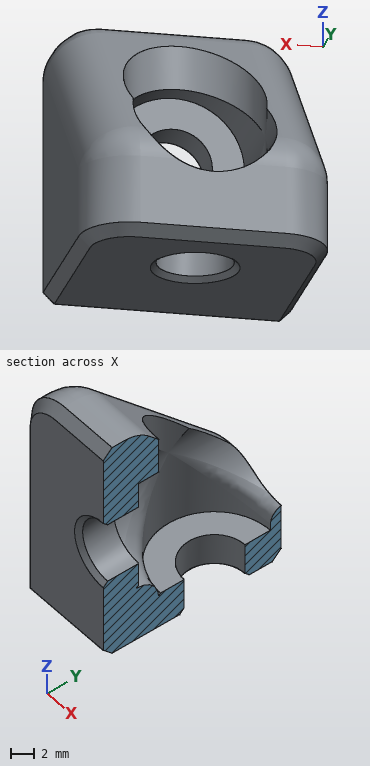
import math

import cadquery as cq

width = 22.0
depth = 20.0
height = 25.0

rear_wall_height = 9.0
top_depth = depth - (height - rear_wall_height)

edge_radius = 4.5
crest_radius = 4.0
edge_chamfer = 1.0

screw_diameter = 6.8
screw_chamfer = 0.5
seat_diameter = 12.5
seat_axis_y = 12.5
seat_axis_z = 12.5
seat_floor = 4.0

rear_ridge_radius = 1.5
front_ridge_radius = 2.5

tool_length = 2 * height


def edges_along(body, y, z):
    """Edges whose middle lies at the given Y and Z."""
    tolerance = 0.01
    found = []
    for edge in body.edges().vals():
        middle = edge.Center()
        if abs(middle.y - y) < tolerance and abs(middle.z - z) < tolerance:
            found.append(edge)
    return found


def make_body():
    """Wedge with rounded outer edges and chamfers around the mounting face and the base."""
    profile = [
        (0, 0),
        (depth, 0),
        (depth, rear_wall_height),
        (top_depth, height),
        (0, height),
    ]
    body = cq.Workplane("YZ").polyline(profile).close().extrude(width / 2, both=True)

    side_edges = edges_along(body, depth, rear_wall_height / 2)
    side_edges += edges_along(body, (depth + top_depth) / 2, (rear_wall_height + height) / 2)
    side_edges += edges_along(body, top_depth / 2, height)
    rear_edge = edges_along(body, depth, rear_wall_height)
    body = body.newObject(side_edges + rear_edge).fillet(edge_radius)

    body = body.newObject(edges_along(body, top_depth, height)).fillet(crest_radius)
    return body.faces("<Y or <Z").edges().chamfer(edge_chamfer)


def y_cylinder(diameter, start):
    """Cylinder on the Y seat axis, running rearward from Y = start."""
    plane = cq.Workplane("XZ", origin=(0, start, seat_axis_z))
    return plane.circle(diameter / 2).extrude(-tool_length)


def z_cylinder(diameter, start):
    """Cylinder on the Z seat axis, running upward from Z = start."""
    plane = cq.Workplane("XY", origin=(0, seat_axis_y, start))
    return plane.circle(diameter / 2).extrude(tool_length)


def make_ridge_rounding(ridge_radius):
    """Cutter that rounds the ridge where the two seats meet below and behind the crossing point.

    A ball touching both seats from inside the material has its centre on an ellipse in
    the 45 degree plane through the crossing point. It touches each seat along a curve
    that lies in a plane through that point, so the cutter is the wedge between those two
    planes, inside the ellipse, less the tube swept by the ball.
    """
    seat_radius = seat_diameter / 2
    centre_radius = seat_radius + ridge_radius
    long_radius = centre_radius * math.sqrt(2)

    crossing = (0, seat_axis_y, seat_axis_z)
    ridge_plane = cq.Plane(origin=crossing, xDir=(1, 0, 0), normal=(0, -1, -1))
    ellipse_prism = cq.Workplane(ridge_plane).ellipse(centre_radius, long_radius)
    ellipse_prism = ellipse_prism.extrude(centre_radius, both=True)

    reach = 2 * centre_radius
    lesser_reach = reach * seat_radius / centre_radius
    wedge = (
        cq.Workplane("YZ", origin=crossing)
        .polyline([(0, 0), (reach, -lesser_reach), (lesser_reach, -reach)])
        .close()
        .extrude(centre_radius, both=True)
    )

    ball_path = cq.Workplane(ridge_plane).ellipse(centre_radius, long_radius)
    path_start = (centre_radius, seat_axis_y, seat_axis_z)
    ball_plane = cq.Plane(origin=path_start, xDir=(1, 0, 0), normal=(0, 1, -1))
    tube = cq.Workplane(ball_plane).circle(ridge_radius).sweep(ball_path)
    return wedge.intersect(ellipse_prism).cut(tube)


def chamfer_screw_hole(body, face):
    """Break the mouth of the screw hole, the smallest circle on the given face."""
    smallest = 0
    mouth = body.faces(face).edges("%CIRCLE").edges(cq.selectors.RadiusNthSelector(smallest))
    return mouth.chamfer(screw_chamfer)


front_rounding = make_ridge_rounding(front_ridge_radius).mirror("XZ", (0, seat_axis_y, 0))
result = make_body().cut(make_ridge_rounding(rear_ridge_radius)).cut(front_rounding)
for make_cylinder, mounting_face in ((y_cylinder, "<Y"), (z_cylinder, "<Z")):
    result = result.cut(make_cylinder(seat_diameter, seat_floor))
    result = result.cut(make_cylinder(screw_diameter, 0))
    result = chamfer_screw_hole(result, mounting_face)